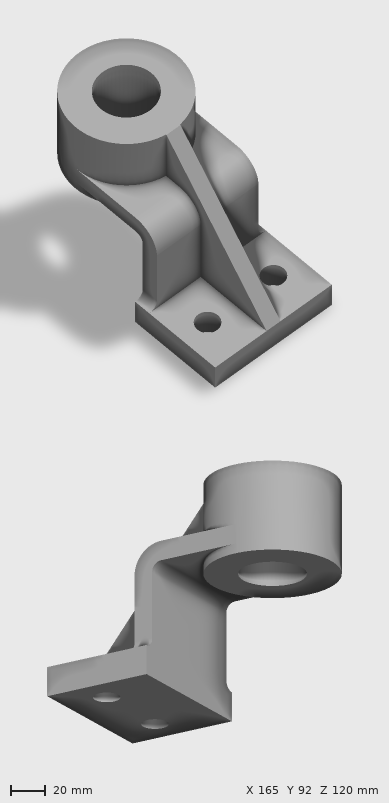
import cadquery as cq

length = 165.0
height = 120.0

hub_diameter = 80.0
hub_radius = hub_diameter / 2
bore_diameter = 40.0
hub_height = 55.0

base_length = 68.0
base_width = 92.0
base_thickness = 18.0
base_start = length - base_length
hole_diameter = 16.0
hole_spacing = 52.0
hole_edge_distance = 28.0

arm_thickness = 12.0
arm_top = 83.0
arm_bottom = arm_top - arm_thickness
arm_back = base_start + arm_thickness
inner_bend = 6.0
outer_bend = inner_bend + arm_thickness
root_fillet = 6.0

rib_thickness = 11.0


def box_between(x_start, x_end, width, z_start, z_end):
    """Box centred on the XZ plane."""
    return (
        cq.Workplane("XY", origin=((x_start + x_end) / 2, 0, z_start))
        .box(x_end - x_start, width, z_end - z_start, centered=(True, True, False))
    )


def extrude_across(profile, width):
    """Extrude an XZ profile symmetrically across Y."""
    return profile.extrude(width / 2, both=True)


def make_base():
    return box_between(base_start, length, base_width, 0, base_thickness)


def make_arm():
    """Horizontal plate that bends down to the base, with concentric bend radii."""
    bend_x = base_start - inner_bend
    bend_z = arm_bottom - inner_bend
    diagonal = 0.5 ** 0.5
    profile = (
        cq.Workplane("XZ")
        .moveTo(hub_radius, arm_bottom)
        .lineTo(bend_x, arm_bottom)
        .threePointArc(
            (bend_x + inner_bend * diagonal, bend_z + inner_bend * diagonal),
            (base_start, bend_z),
        )
        .lineTo(base_start, base_thickness)
        .lineTo(arm_back, base_thickness)
        .lineTo(arm_back, bend_z)
        .threePointArc(
            (bend_x + outer_bend * diagonal, bend_z + outer_bend * diagonal),
            (bend_x, arm_top),
        )
        .lineTo(hub_radius, arm_top)
        .close()
    )
    return extrude_across(profile, hub_diameter)


def make_root_fillets():
    """Concave fillets joining the arm's side edges to the wider base."""
    blend_top = base_thickness + root_fillet
    blend = box_between(
        base_start, arm_back, hub_diameter + 2 * root_fillet, base_thickness, blend_top
    )
    for side in (-1, 1):
        centre_y = side * (hub_radius + root_fillet)
        scoop = (
            cq.Workplane("YZ", origin=(base_start, 0, 0))
            .center(centre_y, blend_top)
            .circle(root_fillet)
            .extrude(arm_thickness)
        )
        blend = blend.cut(scoop)
    return blend


def make_rib():
    """Sloping web from the hub's top edge to the far edge of the base."""
    arm_middle = arm_bottom + arm_thickness / 2
    plate_middle = base_start + arm_thickness / 2
    profile = (
        cq.Workplane("XZ")
        .moveTo(hub_radius, height)
        .lineTo(hub_diameter, height)
        .lineTo(length, base_thickness)
        .lineTo(plate_middle, base_thickness)
        .lineTo(plate_middle, arm_middle)
        .lineTo(hub_radius, arm_middle)
        .close()
    )
    return extrude_across(profile, rib_thickness)


def make_hub():
    return (
        cq.Workplane("XY", origin=(hub_radius, 0, height - hub_height))
        .circle(hub_radius)
        .extrude(hub_height)
    )


bore = (
    cq.Workplane("XY", origin=(hub_radius, 0, 0))
    .circle(bore_diameter / 2)
    .extrude(height)
)

mounting_holes = (
    cq.Workplane("XY", origin=(length - hole_edge_distance, 0, 0))
    .pushPoints([(0, -hole_spacing / 2), (0, hole_spacing / 2)])
    .circle(hole_diameter / 2)
    .extrude(base_thickness)
)

result = (
    make_base()
    .union(make_arm())
    .union(make_root_fillets())
    .union(make_rib())
    .union(make_hub())
    .cut(bore)
    .cut(mounting_holes)
)